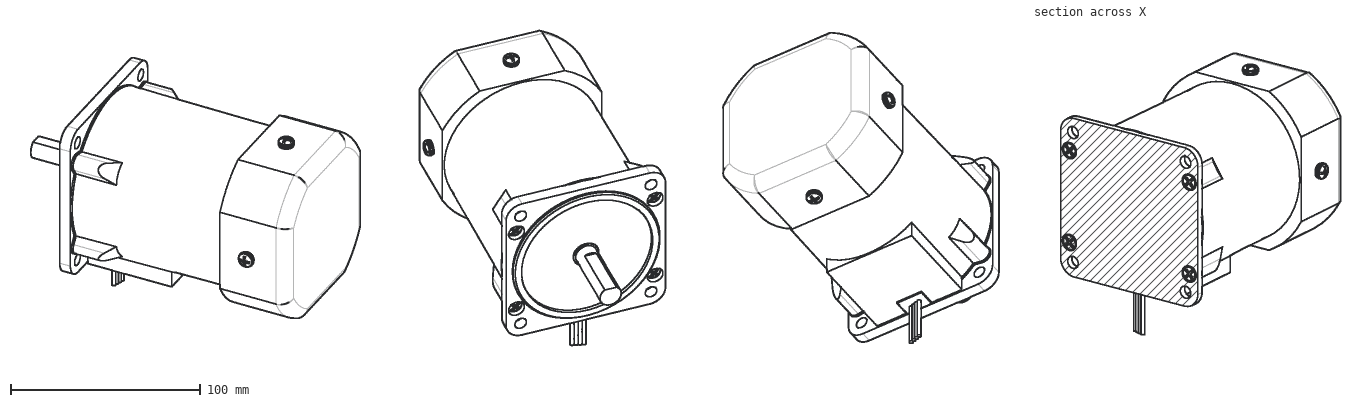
import cadquery as cq
import math


flange_size = 90.0
flange_thickness = 6.4
flange_corner_radius = 9.0
pilot_radius = 41.5
pilot_height = 2.0
pilot_chamfer = 0.9
pilot_recess_radius = 37.0
mounting_circle_diameter = 104.0
mounting_hole_diameter = 6.5

shaft_radius = 6.0
shaft_projection = 35.0
shaft_flat_length = 30.0
shaft_flat_height = 5.0
shaft_collar_radius = 7.1
shaft_collar_height = 0.6

collar_thickness = 1.0
collar_radius = 45.0
collar_lug_margin = 0.3
body_front_radius = 44.8
body_rear_radius = 44.0
body_front_x = flange_thickness + collar_thickness
body_length = 87.6

flange_screw_y = 39.1
flange_screw_z = 26.0
lug_radius = 4.6
lug_root_distance = 44.0
lug_root_half_width = 6.2
lug_root_length = 24.0
lug_tip_length = 14.6

housing_x = body_front_x + body_length
housing_length = 40.0
housing_corner_radius = 51.0
housing_edge_fillet = 7.0

box_length = 49.6
box_width = 53.0
outlet_plate_length = 10.2
outlet_plate_width = 15.4
outlet_plate_thickness = 0.8
wire_count = 4
wire_diameter = 2.15
wire_pitch_x = 0.6
wire_pitch_y = 2.03
wire_center_x = 11.7
wire_bottom_z = -70.8

screw_neck_radius = 3.9
screw_neck_height = 1.0
screw_washer_radius = 4.25
screw_washer_top = 2.1
screw_head_radius = 4.0
screw_head_rim_height = 2.7
screw_dome_shoulder = (3.2, 3.5)
screw_crown_radius = 1.9
screw_height = 3.87
screw_slot_length = 5.8
screw_slot_width = 1.0
screw_slot_depth = 1.5
screw_bore_diameter = 8.8
screw_bore_depth = 5.4
housing_screw_x = 111.3

half_size = flange_size / 2
axis = cq.Vector(1, 0, 0)
lug_angle = math.degrees(math.atan2(flange_screw_z, flange_screw_y))
screw_distance = math.hypot(flange_screw_y, flange_screw_z)
lug_angles = [lug_angle, 180 - lug_angle, 180 + lug_angle, -lug_angle]


def section(x):
    """Workplane across the motor axis: local x is Y, local y is Z, extruding toward +X."""
    return cq.Workplane("YZ", origin=(x, 0, 0))


def disc(x, radius, length):
    return section(x).circle(radius).extrude(length)


def make_flange():
    flange = (
        section(0)
        .rect(flange_size, flange_size)
        .extrude(flange_thickness)
        .edges("|X")
        .fillet(flange_corner_radius)
    )
    pilot = disc(-pilot_height, pilot_radius, pilot_height).faces("<X").chamfer(pilot_chamfer)
    recess = disc(-pilot_height, pilot_recess_radius, pilot_height)
    flange = flange.union(pilot.cut(recess))
    flange = flange.union(disc(-shaft_collar_height, shaft_collar_radius, shaft_collar_height))
    hole_pitch = mounting_circle_diameter / math.sqrt(2)
    holes = (
        section(0)
        .rect(hole_pitch, hole_pitch, forConstruction=True)
        .vertices()
        .circle(mounting_hole_diameter / 2)
        .extrude(flange_thickness)
    )
    return flange.cut(holes)


def make_shaft():
    tip_x = -pilot_height - shaft_projection
    shaft = disc(tip_x, shaft_radius, flange_thickness - tip_x)
    flat_cut = cq.Workplane("XY").box(
        shaft_flat_length, 2 * shaft_radius, shaft_radius, centered=(False, True, False)
    )
    return shaft.cut(flat_cut.translate((tip_x, 0, shaft_flat_height)))


def make_lug_prism(margin, x, length):
    """Lug along the local Y direction: a round nose around the screw, widening to the body."""
    nose_radius = lug_radius + margin
    half_width = lug_root_half_width + margin
    depth = screw_distance - lug_root_distance
    root_to_center = math.hypot(depth, half_width)
    side_angle = math.atan2(half_width, -depth) - math.acos(nose_radius / root_to_center)
    tangent_y = screw_distance + nose_radius * math.cos(side_angle)
    tangent_z = nose_radius * math.sin(side_angle)
    tip_y = screw_distance + nose_radius
    return (
        section(x)
        .moveTo(0, -half_width)
        .lineTo(lug_root_distance, -half_width)
        .lineTo(tangent_y, -tangent_z)
        .threePointArc((tip_y, 0), (tangent_y, tangent_z))
        .lineTo(lug_root_distance, half_width)
        .lineTo(0, half_width)
        .close()
        .extrude(length)
    )


def make_lug():
    """Lug behind the collar, its rear end sloping down to the body."""
    lug = make_lug_prism(0, body_front_x, lug_root_length)
    tip_y = screw_distance + lug_radius
    side_profile = (
        cq.Workplane("XY", origin=(0, 0, -lug_root_half_width))
        .moveTo(body_front_x, 0)
        .lineTo(body_front_x + lug_root_length, 0)
        .lineTo(body_front_x + lug_root_length, lug_root_distance)
        .lineTo(body_front_x + lug_tip_length, tip_y)
        .lineTo(body_front_x, tip_y)
        .close()
        .extrude(2 * lug_root_half_width)
    )
    return lug.intersect(side_profile)


def make_body():
    body = disc(flange_thickness, collar_radius, collar_thickness)
    barrel = (
        cq.Workplane("XZ")
        .moveTo(body_front_x, 0)
        .lineTo(body_front_x, body_front_radius)
        .lineTo(housing_x, body_rear_radius)
        .lineTo(housing_x, 0)
        .close()
        .revolve(360, (0, 0, 0), (1, 0, 0))
    )
    body = body.union(barrel)
    lug = make_lug().union(make_lug_prism(collar_lug_margin, flange_thickness, collar_thickness))
    for angle in lug_angles:
        body = body.union(lug.rotate(cq.Vector(), axis, angle))
    return body


def make_housing():
    square = section(housing_x).rect(flange_size, flange_size).extrude(housing_length)
    housing = square.intersect(disc(housing_x, housing_corner_radius, housing_length))
    return housing.faces(">X").edges().fillet(housing_edge_fillet)


def make_terminal_box():
    box = cq.Workplane("XY").box(box_length, box_width, half_size, centered=(False, True, False))
    plate = cq.Workplane("XY").box(
        outlet_plate_length,
        outlet_plate_width,
        outlet_plate_thickness,
        centered=(False, True, False),
    )
    box = box.translate((body_front_x, 0, -half_size))
    return box.union(plate.translate((body_front_x, 0, -half_size - outlet_plate_thickness)))


def make_wires():
    """Slanted row of slightly overlapping wires hanging from the outlet plate."""
    wires = cq.Workplane("XY")
    for index in range(wire_count):
        place = index - (wire_count - 1) / 2
        x = wire_center_x + place * wire_pitch_x
        y = place * wire_pitch_y
        wire = (
            cq.Workplane("XY", origin=(x, y, wire_bottom_z))
            .circle(wire_diameter / 2)
            .extrude(-half_size - wire_bottom_z)
        )
        wires = wires.union(wire)
    return wires


def make_screw():
    """Screw head standing on the XY plane, facing +Z."""
    head = (
        cq.Workplane("XZ")
        .lineTo(screw_neck_radius, 0)
        .lineTo(screw_neck_radius, screw_neck_height)
        .lineTo(screw_washer_radius, screw_neck_height)
        .lineTo(screw_washer_radius, screw_washer_top)
        .lineTo(screw_head_radius, screw_washer_top)
        .lineTo(screw_head_radius, screw_head_rim_height)
        .threePointArc(screw_dome_shoulder, (screw_crown_radius, screw_height))
        .lineTo(0, screw_height)
        .close()
        .revolve(360, (0, 0, 0), (0, 1, 0))
    )
    slot = cq.Workplane("XY").box(screw_slot_length, screw_slot_width, 2 * screw_slot_depth)
    cross = slot.union(slot.rotate((0, 0, 0), (0, 0, 1), 90))
    return head.cut(cross.translate((0, 0, screw_height)))


def add_flange_screws(motor):
    """Screws sunk in bores in the flange, with their cross recesses turned 45 degrees."""
    screw = make_screw().rotate((0, 0, 0), (0, 0, 1), 45).rotate((0, 0, 0), (0, 1, 0), -90)
    for y in (-flange_screw_y, flange_screw_y):
        for z in (-flange_screw_z, flange_screw_z):
            bore = section(0).center(y, z).circle(screw_bore_diameter / 2).extrude(screw_bore_depth)
            motor = motor.cut(bore).union(screw.translate((screw_bore_depth, y, z)))
    return motor


def add_housing_screws(motor):
    screw = make_screw().translate((housing_screw_x, 0, half_size))
    for angle in (0, 90, 180, 270):
        motor = motor.union(screw.rotate(cq.Vector(), axis, angle))
    return motor


motor = make_flange().union(make_body()).union(make_housing())
motor = motor.union(make_terminal_box()).union(make_wires()).union(make_shaft())
motor = add_flange_screws(motor)
result = add_housing_screws(motor)